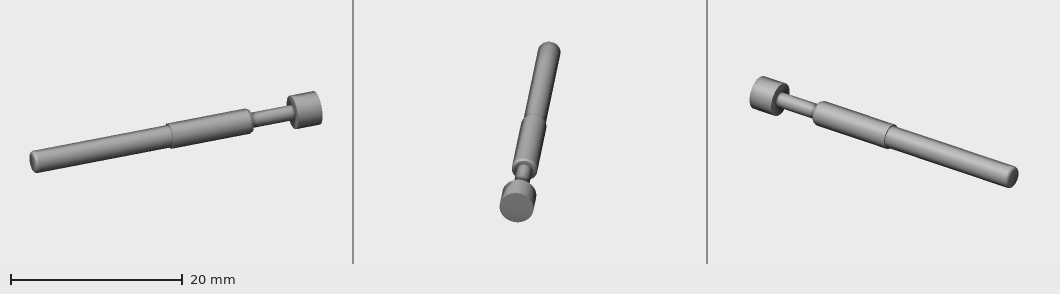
import cadquery as cq

total_length = 35.3

head_diameter = 4.0
head_length = 3.0

stem_diameter = 1.8
stem_length = 5.3

sleeve_diameter = 3.0
sleeve_length = 10.03
sleeve_lead_length = 0.32
sleeve_lead_depth = 0.18

tail_diameter = 2.65
tail_end_radius = 0.4

head_base = total_length - head_length
sleeve_front = head_base - stem_length
sleeve_back = sleeve_front - sleeve_length


def cylinder(diameter, start, end):
    """Solid cylinder on the Y axis between two stations."""
    return cq.Workplane("XZ", origin=(0, start, 0)).circle(diameter / 2).extrude(start - end)


def make_tail():
    """Long rear rod with a rounded free end."""
    return cylinder(tail_diameter, 0, sleeve_back).faces("<Y").edges().fillet(tail_end_radius)


def make_sleeve():
    """Wider collar with a shallow lead-in taper towards the stem."""
    radius = sleeve_diameter / 2
    profile = (
        cq.Workplane("XY")
        .moveTo(0, sleeve_back)
        .lineTo(radius, sleeve_back)
        .lineTo(radius, sleeve_front - sleeve_lead_length)
        .lineTo(radius - sleeve_lead_depth, sleeve_front)
        .lineTo(0, sleeve_front)
        .close()
    )
    return profile.revolve(axisStart=(0, 0, 0), axisEnd=(0, 1, 0))


def make_stem():
    """Slim plunger between the sleeve and the head."""
    return cylinder(stem_diameter, sleeve_front, head_base)


def make_head():
    """Flat cylindrical contact head."""
    return cylinder(head_diameter, head_base, total_length)


result = make_tail().union(make_sleeve()).union(make_stem()).union(make_head())